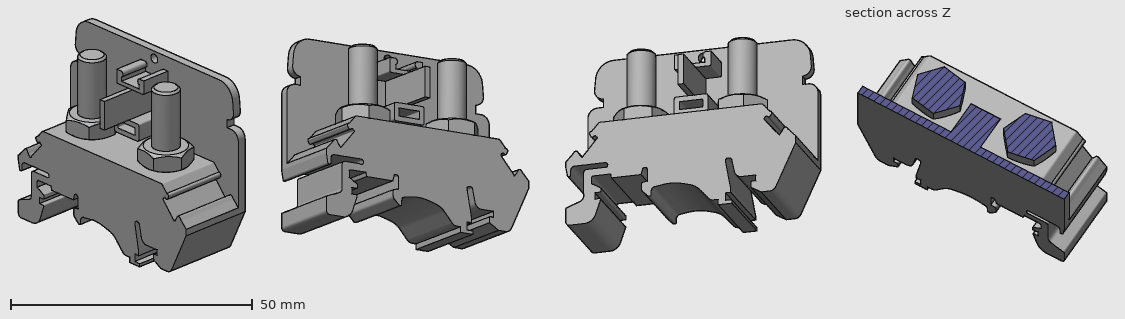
import cadquery as cq
import math

half_length = 25.0
depth = 17.0
height = 41.4
plate_thickness = 2.0
plate_front = depth - plate_thickness
block_top = 22.0
seam_height = 14.05

hole_diameter = 2.0
hole_height = 39.7
clip_reach = 6.9
clip_bottom = 35.0
clip_top = 38.2
clip_half_width = 4.0
clip_edge_radius = 0.3
clip_floor = 35.9
clip_channel_half_width = 2.6
clip_lip_half_gap = 2.2
clip_lip_root = 36.85
clip_lip_bottom = 37.1
clip_lip_top_radius = 0.65
clip_lip_bottom_radius = 0.6
box_reach = 8.0
box_bottom = 24.5
box_top = 28.45
box_half_width = 3.65
box_wall = 1.1
box_outer_radius = 0.45
box_inner_radius = 0.25
web_thickness = 1.25

stud_offset = 11.0
stud_depth = 7.7
stud_diameter = 6.0
stud_top = 39.3
stud_chamfer = 0.5
nut_height = 4.0
nut_corner_diameter = 11.7
nut_face_diameter = 9.4
nut_chamfer_height = 0.65
nut_turn = 10.0


def mirrored(corners):
    """Continue a left-hand chain of corners with its mirror image, in reverse order."""
    return corners + [(-x, z, radius) for x, z, radius in reversed(corners)]


def rounded_outline(corners):
    """Closed XZ outline through (x, z, radius) corners, each rounded by its radius."""
    outline = cq.Workplane("XZ")
    for index, (x, z, radius) in enumerate(corners):
        corner = cq.Vector(x, z)
        to_previous = (cq.Vector(*corners[index - 1][:2]) - corner).normalized()
        to_next = (cq.Vector(*corners[(index + 1) % len(corners)][:2]) - corner).normalized()
        half_angle = to_previous.getAngle(to_next) / 2
        trim = radius / math.tan(half_angle)
        entry = corner + to_previous * trim
        if index == 0:
            outline = outline.moveTo(entry.x, entry.y)
        else:
            outline = outline.lineTo(entry.x, entry.y)
        if radius > 0:
            bisector = (to_previous + to_next).normalized()
            middle = corner + bisector * (radius / math.sin(half_angle) - radius)
            leave = corner + to_next * trim
            outline = outline.threePointArc((middle.x, middle.y), (leave.x, leave.y))
    return outline.close()


def slab(corners, front, back):
    """Prism of an XZ outline between two Y positions."""
    return rounded_outline(corners).extrude(front - back).translate((0, front, 0))


underside = [
    (-half_length, 13.0, 0),
    (-24.6, 10.75, 0.35),
    (-23.9, 10.75, 0.3),
    (-23.9, 12.95, 0.9),
    (-15.7, 12.95, 0.6),
    (-15.95, 11.9, 0.3),
    (-21.1, 11.9, 0.7),
    (-21.1, 5.3, 1.15),
    (-half_length, 3.85, 0.4),
    (-half_length, 0, 0.85),
    (-19.1, 0, 2.5),
    (-17.3, 5.15, 0.25),
    (-18.65, 5.15, 0),
    (-18.65, 6.55, 0),
    (-17.35, 6.55, 0.15),
    (-17.35, 7.45, 0.15),
    (-19.35, 8.65, 0),
    (-19.35, 10.3, 0.4),
    (-15.25, 10.3, 0),
    (-15.05, 9.4, 0),
    (-8.6, 9.4, 0),
    (-8.2, 10.85, 0.35),
    (-7.25, 10.85, 0.45),
    (-7.25, 7.8, 0),
    (-8.5, 7.6, 0.35),
    (-8.5, 5.85, 0.8),
    (-7.05, 4.4, 0.25),
    (-6.4, 4.4, 0.25),
    (-6.4, 6.25, 0.9),
    (-1.75, 6.95, 10.0),
    (3.25, 5.6, 4.5),
    (6.5, 1.95, 1.5),
    (8.15, 1.95, 0),
    (8.15, 0.75, 0),
    (11.15, 0.75, 0),
    (11.15, 1.45, 0),
    (9.75, 1.55, 0),
    (9.75, 3.2, 0),
    (10.85, 3.2, 0),
    (10.85, 4.15, 0),
    (9.6, 10.85, 0.6),
    (11.0, 10.85, 0.6),
    (11.95, 6.4, 1.6),
    (16.3, 6.4, 0),
    (16.3, 5.15, 0),
    (15.25, 5.15, 0.25),
    (15.25, 3.8, 0),
    (17.5, 2.5, 0),
    (20.3, 2.5, 1.5),
    (half_length, 12.55, 0),
]

block_shoulder = [
    (-half_length, seam_height, 0),
    (-23.65, 15.45, 0),
    (-23.15, 16.05, 0),
    (-22.65, 16.55, 0.45),
    (-21.95, 15.3, 0.25),
    (-21.45, 14.7, 0),
    (-18.05, 18.65, 0.1),
    (-18.6, 19.2, 0.1),
    (-19.3, 18.8, 0.3),
    (-20.0, 19.95, 0.45),
    (-19.25, 20.3, 0),
    (-17.75, block_top, 0.6),
]

plate_edge = [
    (-half_length, 31.25, 2.1),
    (-21.65, 31.25, 0),
    (-21.65, 33.05, 0),
    (-23.7, 33.6, 1.9),
    (-23.0, height, 4.0),
]

block = slab(mirrored(block_shoulder) + underside[::-1], 0, depth)
plate = slab(mirrored(plate_edge) + underside[::-1], plate_front, depth)
hole = (
    cq.Workplane("XZ")
    .center(0, hole_height)
    .circle(hole_diameter / 2)
    .extrude(-depth)
)


def label_clip():
    """Open channel with rounded inward lips."""
    left_half = [
        (-clip_channel_half_width, clip_floor, 0),
        (-clip_channel_half_width, clip_lip_root, 0),
        (-clip_lip_half_gap, clip_lip_bottom, clip_lip_bottom_radius),
        (-clip_lip_half_gap, clip_top, clip_lip_top_radius),
        (-clip_half_width, clip_top, 0),
        (-clip_half_width, clip_bottom, clip_edge_radius),
    ]
    return slab(mirrored(left_half), plate_front - clip_reach, plate_front)


def rounded_rectangle(half_width, bottom, top, radius):
    """Corners of a rectangle centred on X = 0."""
    left = [(-half_width, bottom, radius), (-half_width, top, radius)]
    return mirrored(left)


def label_box():
    """Rectangular tube standing on the plate."""
    front = plate_front - box_reach
    outer = rounded_rectangle(box_half_width, box_bottom, box_top, box_outer_radius)
    inner = rounded_rectangle(
        box_half_width - box_wall,
        box_bottom + box_wall,
        box_top - box_wall,
        box_inner_radius,
    )
    return slab(outer, front, plate_front).cut(slab(inner, front, plate_front))


def web():
    """Thin wall between clip and box, reaching the front face of the block."""
    return (
        cq.Workplane("XY")
        .box(web_thickness, plate_front, clip_bottom - box_top, centered=(True, False, False))
        .translate((0, 0, box_top))
    )


def nut(turn):
    """Hexagon nut with conical chamfers on both faces."""
    hexagon = (
        cq.Workplane("XY")
        .polygon(6, nut_corner_diameter)
        .extrude(nut_height)
        .rotate((0, 0, 0), (0, 0, 1), turn)
    )
    face_radius = nut_face_diameter / 2
    corner_radius = nut_corner_diameter / 2
    chamfer_envelope = (
        cq.Workplane("XZ")
        .moveTo(0, 0)
        .lineTo(face_radius, 0)
        .lineTo(corner_radius, nut_chamfer_height)
        .lineTo(corner_radius, nut_height - nut_chamfer_height)
        .lineTo(face_radius, nut_height)
        .lineTo(0, nut_height)
        .close()
        .revolve(360, (0, 0), (0, 1))
    )
    return hexagon.intersect(chamfer_envelope)


def stud():
    """Round stud with a chamfered top."""
    return (
        cq.Workplane("XY")
        .circle(stud_diameter / 2)
        .extrude(stud_top - block_top)
        .faces(">Z")
        .chamfer(stud_chamfer)
    )


result = block.union(plate).cut(hole)
for detail in (label_clip(), label_box(), web()):
    result = result.union(detail)
for side in (-1, 1):
    fastener = stud().union(nut(-side * nut_turn))
    result = result.union(fastener.translate((side * stud_offset, stud_depth, block_top)))